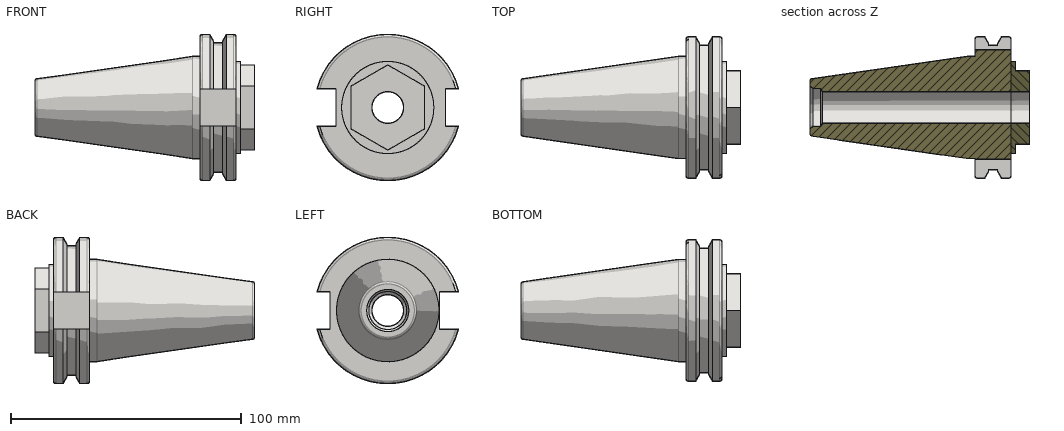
import cadquery as cq
import math

taper_end = 68.2
flange_front = 71.5
flange_back = 87.2
nut_collar_end = 89.2
overall_length = 95.2

small_diameter = 24.7
gauge_diameter = 44.4
tip_round = 0.95

flange_diameter = 63.5
flange_round = 1.1
groove_centre = 79.4
groove_mouth_width = 7.2
groove_floor_width = 3.8
groove_floor_diameter = 56.3
groove_wall_angle = 60.0

slot_width = 16.1
slot_floor_plus_y = 25.1
slot_floor_minus_y = 22.5

through_diameter = 13.6
counterbore_diameter = 16.5
countersink_diameter = 18.3
countersink_depth = 1.3
counterbore_depth = 4.6
shoulder_angle = 60.0

nut_collar_diameter = 40.0
hex_across_flats = 32.0


def turned(points):
    """Revolve a closed (x, radius) outline about the X axis."""
    return cq.Workplane("XY").polyline(points).close().revolve(360, (0, 0, 0), (1, 0, 0))


def cylinder(start, end, diameter):
    """Cylinder along X between two positions."""
    return cq.Workplane("YZ", origin=(start, 0, 0)).circle(diameter / 2).extrude(end - start)


def make_shank():
    """Taper with a rounded tip, followed by a short cylindrical land."""
    taper = turned([
        (0, 0),
        (0, small_diameter / 2),
        (taper_end, gauge_diameter / 2),
        (taper_end, 0),
    ])
    taper = taper.faces("<X").edges().fillet(tip_round)
    return taper.union(cylinder(taper_end, flange_front, gauge_diameter))


def make_groove():
    """Ring that cuts the gripper groove: sloping walls, then a straight-sided floor."""
    half_mouth = groove_mouth_width / 2
    half_floor = groove_floor_width / 2
    rim_radius = flange_diameter / 2
    floor_radius = groove_floor_diameter / 2
    slope_depth = (half_mouth - half_floor) * math.tan(math.radians(groove_wall_angle))
    slope_foot_radius = rim_radius - slope_depth
    return turned([
        (groove_centre - half_mouth, rim_radius),
        (groove_centre - half_floor, slope_foot_radius),
        (groove_centre - half_floor, floor_radius),
        (groove_centre + half_floor, floor_radius),
        (groove_centre + half_floor, slope_foot_radius),
        (groove_centre + half_mouth, rim_radius),
    ])


def make_drive_slot(side, floor_distance):
    """Block that cuts one drive slot, on the +Y (side = 1) or -Y (side = -1) edge."""
    length = flange_back - flange_front
    depth = flange_diameter / 2 - floor_distance
    centre_x = (flange_front + flange_back) / 2
    centre_y = side * (floor_distance + depth / 2)
    return cq.Workplane("XY").box(length, depth, slot_width).translate((centre_x, centre_y, 0))


def make_flange():
    """Round-edged flange with the gripper groove and both drive slots."""
    flange = cylinder(flange_front, flange_back, flange_diameter).edges().fillet(flange_round)
    flange = flange.cut(make_groove())
    for side, floor_distance in ((1, slot_floor_plus_y), (-1, slot_floor_minus_y)):
        flange = flange.cut(make_drive_slot(side, floor_distance))
    return flange


def make_bore():
    """Stepped through bore with a countersunk mouth and a conical shoulder."""
    through_radius = through_diameter / 2
    counterbore_radius = counterbore_diameter / 2
    shoulder_length = (counterbore_radius - through_radius) / math.tan(math.radians(shoulder_angle))
    return turned([
        (0, 0),
        (0, countersink_diameter / 2),
        (countersink_depth, counterbore_radius),
        (counterbore_depth, counterbore_radius),
        (counterbore_depth + shoulder_length, through_radius),
        (overall_length, through_radius),
        (overall_length, 0),
    ])


def make_holder():
    """Tool holder: taper shank and flange in one piece, bored through."""
    return make_shank().union(make_flange()).cut(make_bore())


def make_nut():
    """Nut against the flange: round collar and hexagon with flats facing +Y and -Y."""
    across_corners = hex_across_flats / math.cos(math.pi / 6)
    hexagon = (
        cq.Workplane("YZ", origin=(nut_collar_end, 0, 0))
        .transformed(rotate=(0, 0, 90))
        .polygon(6, across_corners)
        .extrude(overall_length - nut_collar_end)
    )
    collar = cylinder(flange_back, nut_collar_end, nut_collar_diameter)
    return collar.union(hexagon).cut(make_bore())


holder = make_holder()
nut = make_nut()
result = cq.Compound.makeCompound([holder.val(), nut.val()])